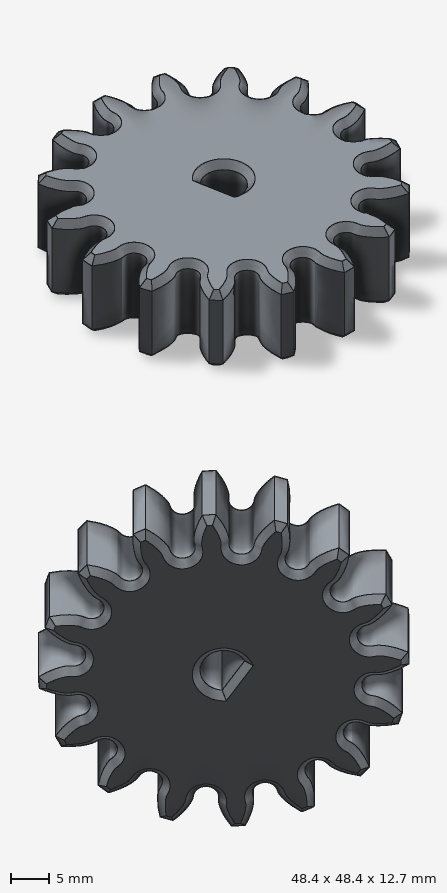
import cadquery as cq
import math

tooth_count = 16
pitch_diameter = 43.2
thickness = 12.7
pressure_angle = math.radians(20)
first_tooth_angle = math.radians(7.6)
addendum_factor = 1.0
dedendum_factor = 1.25
root_fillet_radius = 1.6

bore_radius = 3.1
bore_flat_distance = 1.5
edge_chamfer = 1.0

flank_intervals = 12

module = pitch_diameter / tooth_count
pitch_radius = pitch_diameter / 2
outer_radius = pitch_radius + addendum_factor * module
root_radius = pitch_radius - dedendum_factor * module
base_radius = pitch_radius * math.cos(pressure_angle)
tooth_pitch_angle = 2 * math.pi / tooth_count


def involute(angle):
    return math.tan(angle) - angle


base_half_tooth = tooth_pitch_angle / 4 + involute(pressure_angle)
base_half_gap = tooth_pitch_angle / 2 - base_half_tooth

fillet_centre_radius = root_radius + root_fillet_radius
fillet_angle = math.asin(root_fillet_radius / fillet_centre_radius)
fillet_start_radius = fillet_centre_radius * math.cos(fillet_angle)
root_half_arc = base_half_gap - fillet_angle

tip_roll = math.sqrt((outer_radius / base_radius) ** 2 - 1)
tip_half_tooth = base_half_tooth - involute(math.atan(tip_roll))


def polar(radius, angle):
    return (radius * math.cos(angle), radius * math.sin(angle))


def flank_point(roll, tooth_angle, side):
    """Point on one tooth flank; side is -1 or +1, roll runs from 0 at the base circle."""
    radius = base_radius * math.sqrt(1 + roll**2)
    half_tooth = base_half_tooth - involute(math.atan(roll))
    return (*polar(radius, tooth_angle + side * half_tooth), 0)


def fillet_middle(gap_angle, side):
    """Point halfway along one root fillet of the gap at gap_angle."""
    centre_angle = gap_angle + side * root_half_arc
    centre_x, centre_y = polar(fillet_centre_radius, centre_angle)
    middle_direction = centre_angle + math.pi + side * (fillet_angle - math.pi / 2) / 2
    offset_x, offset_y = polar(root_fillet_radius, middle_direction)
    return (centre_x + offset_x, centre_y + offset_y)


def add_tooth(outline, tooth_angle):
    """Add one tooth, counterclockwise from base circle to base circle."""
    tip_start = tooth_angle - tip_half_tooth
    tip_end = tooth_angle + tip_half_tooth
    return (
        outline
        .parametricCurve(
            lambda t: flank_point(t * tip_roll, tooth_angle, -1),
            N=flank_intervals,
            makeWire=False,
        )
        .moveTo(*polar(outer_radius, tip_start))
        .threePointArc(polar(outer_radius, tooth_angle), polar(outer_radius, tip_end))
        .parametricCurve(
            lambda t: flank_point((1 - t) * tip_roll, tooth_angle, 1),
            N=flank_intervals,
            makeWire=False,
        )
    )


def add_gap(outline, gap_angle):
    """Add one gap: radial wall, fillet, root arc, fillet, radial wall."""
    wall_start = gap_angle - base_half_gap
    wall_end = gap_angle + base_half_gap
    root_start = gap_angle - root_half_arc
    root_end = gap_angle + root_half_arc
    return (
        outline
        .moveTo(*polar(base_radius, wall_start))
        .lineTo(*polar(fillet_start_radius, wall_start))
        .threePointArc(fillet_middle(gap_angle, -1), polar(root_radius, root_start))
        .threePointArc(polar(root_radius, gap_angle), polar(root_radius, root_end))
        .threePointArc(fillet_middle(gap_angle, 1), polar(fillet_start_radius, wall_end))
        .lineTo(*polar(base_radius, wall_end))
    )


def make_gear_blank():
    outline = cq.Workplane("XY")
    for index in range(tooth_count):
        tooth_angle = first_tooth_angle + index * tooth_pitch_angle
        outline = add_tooth(outline, tooth_angle)
        outline = add_gap(outline, tooth_angle + tooth_pitch_angle / 2)
    return outline.wire().toPending().extrude(thickness)


def make_bore():
    flat_half_width = math.sqrt(bore_radius**2 - bore_flat_distance**2)
    return (
        cq.Workplane("XY")
        .moveTo(flat_half_width, -bore_flat_distance)
        .threePointArc((0, bore_radius), (-flat_half_width, -bore_flat_distance))
        .close()
        .extrude(thickness)
    )


gear = make_gear_blank().cut(make_bore())
result = gear.faces("<Z or >Z").edges().chamfer(edge_chamfer)